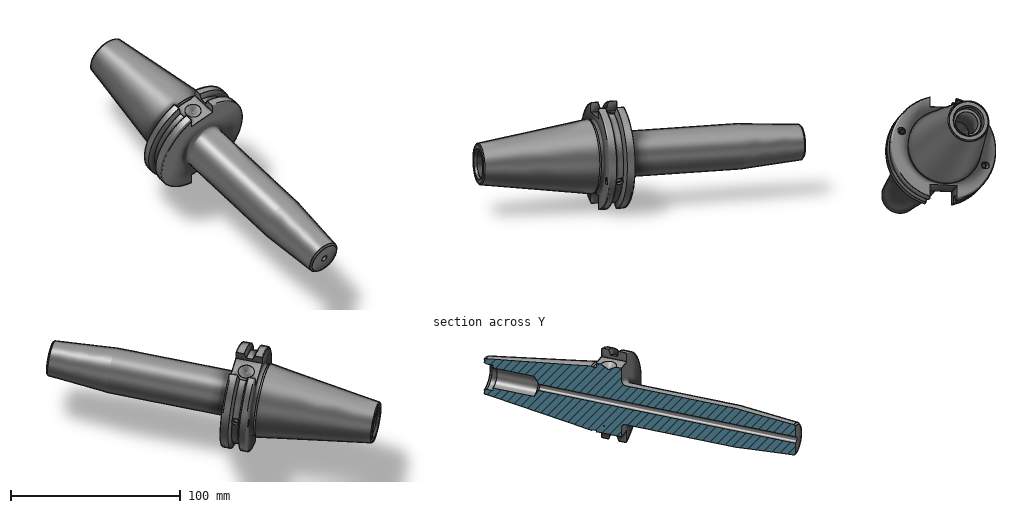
import cadquery as cq
import math

TOTAL_LENGTH = 198.2

TAPER_RATIO = 7 / 24
GAUGE_DIAMETER = 44.5
GAUGE_X = 68.2
TAPER_END_CHAMFER = 0.5
RELIEF_DIAMETER = 43.2
RELIEF_X = 69.4
RELIEF_FILLET = 0.5

FLANGE_DIAMETER = 63.5
FLANGE_START = 71.4
FLANGE_END = 87.5
FLANGE_FILLET = 1.0
GROOVE_X = 79.1
GROOVE_DIAMETER = 56.3
GROOVE_MOUTH_WIDTH = 6.5
GROOVE_FLOOR_WIDTH = 4.0

SLOT_WIDTH = 16.3
TOP_SLOT_HEIGHT = 24.8
BOTTOM_SLOT_HEIGHT = 22.5
DIMPLE_DIAMETER = 9.5
DIMPLE_ANGLE = 120.0

SHANK_DIAMETER = 27.0
SHANK_FILLET = 2.8
NOSE_START = 160.2
NOSE_ANGLE = 4.5
NOSE_CHAMFER = 1.0

BORE_MOUTH_DIAMETER = 18.6
MOUTH_CHAMFER_LENGTH = 1.5
COUNTERBORE_DIAMETER = 17.0
COUNTERBORE_DEPTH = 5.5
BORE_DIAMETER = 13.5
BORE_DEPTH = 31.7
DRILL_ANGLE = 118.0
THROUGH_DIAMETER = 4.0

COOLANT_ANGLES = (20.0, 200.0)
COOLANT_TILT = 30.0
COOLANT_ENTRY_RADIUS = 27.0
COOLANT_ENTRY_DIAMETER = 4.0
COOLANT_ENTRY_DEPTH = 2.0
COOLANT_DIAMETER = 3.2
OUTLET_DIAMETER = 4.4
OUTLET_DEPTH = 2.0


def cone_depth(diameter, angle):
    """Height of a cone with the given base diameter and included angle."""
    return diameter / 2 / math.tan(math.radians(angle / 2))


def make_body():
    """Revolve the outer profile about the X axis."""
    taper_radius = (GAUGE_DIAMETER - GAUGE_X * TAPER_RATIO) / 2
    relief_radius = RELIEF_DIAMETER / 2
    flange_radius = FLANGE_DIAMETER / 2
    groove_radius = GROOVE_DIAMETER / 2
    shank_radius = SHANK_DIAMETER / 2
    nose_slope = math.tan(math.radians(NOSE_ANGLE))
    nose_radius = shank_radius - (TOTAL_LENGTH - NOSE_START) * nose_slope
    half_mouth = GROOVE_MOUTH_WIDTH / 2
    half_floor = GROOVE_FLOOR_WIDTH / 2
    edge_radius = flange_radius - FLANGE_FILLET

    profile = (
        cq.Workplane("XY")
        .moveTo(0, 0)
        .lineTo(0, taper_radius - TAPER_END_CHAMFER)
        .lineTo(TAPER_END_CHAMFER, taper_radius + TAPER_END_CHAMFER * TAPER_RATIO / 2)
        .lineTo(GAUGE_X, GAUGE_DIAMETER / 2)
        .lineTo(RELIEF_X, relief_radius)
        .lineTo(FLANGE_START - RELIEF_FILLET, relief_radius)
        .radiusArc((FLANGE_START, relief_radius + RELIEF_FILLET), -RELIEF_FILLET)
        .lineTo(FLANGE_START, edge_radius)
        .radiusArc((FLANGE_START + FLANGE_FILLET, flange_radius), FLANGE_FILLET)
        .lineTo(GROOVE_X - half_mouth, flange_radius)
        .lineTo(GROOVE_X - half_floor, groove_radius)
        .lineTo(GROOVE_X + half_floor, groove_radius)
        .lineTo(GROOVE_X + half_mouth, flange_radius)
        .lineTo(FLANGE_END - FLANGE_FILLET, flange_radius)
        .radiusArc((FLANGE_END, edge_radius), FLANGE_FILLET)
        .lineTo(FLANGE_END, shank_radius + SHANK_FILLET)
        .radiusArc((FLANGE_END + SHANK_FILLET, shank_radius), -SHANK_FILLET)
        .lineTo(NOSE_START, shank_radius)
        .lineTo(TOTAL_LENGTH - NOSE_CHAMFER, nose_radius + NOSE_CHAMFER * nose_slope)
        .lineTo(TOTAL_LENGTH, nose_radius - NOSE_CHAMFER)
        .lineTo(TOTAL_LENGTH, 0)
        .close()
    )
    return profile.revolve(360, (0, 0, 0), (1, 0, 0))


def make_bore():
    """Chamfered counterbore, drilled bore with a conical end, and a through hole."""
    through_radius = THROUGH_DIAMETER / 2
    tip_depth = cone_depth(BORE_DIAMETER - THROUGH_DIAMETER, DRILL_ANGLE)
    profile = (
        cq.Workplane("XY")
        .moveTo(0, 0)
        .lineTo(0, BORE_MOUTH_DIAMETER / 2)
        .lineTo(MOUTH_CHAMFER_LENGTH, COUNTERBORE_DIAMETER / 2)
        .lineTo(COUNTERBORE_DEPTH, COUNTERBORE_DIAMETER / 2)
        .lineTo(COUNTERBORE_DEPTH, BORE_DIAMETER / 2)
        .lineTo(BORE_DEPTH, BORE_DIAMETER / 2)
        .lineTo(BORE_DEPTH + tip_depth, through_radius)
        .lineTo(TOTAL_LENGTH, through_radius)
        .lineTo(TOTAL_LENGTH, 0)
        .close()
    )
    return profile.revolve(360, (0, 0, 0), (1, 0, 0))


def make_slot(floor_height, direction):
    """Drive slot across the flange; direction is 1 for +Z and -1 for -Z."""
    depth = FLANGE_DIAMETER / 2 - floor_height
    width = FLANGE_END - FLANGE_START
    center = ((FLANGE_START + FLANGE_END) / 2, 0, direction * (floor_height + depth / 2))
    return cq.Workplane("XY").box(width, SLOT_WIDTH, depth).translate(center)


def make_dimple(floor_height, direction):
    """Conical dimple in the middle of a slot floor."""
    return cq.Workplane(
        cq.Solid.makeCone(
            DIMPLE_DIAMETER / 2,
            0,
            cone_depth(DIMPLE_DIAMETER, DIMPLE_ANGLE),
            cq.Vector(GROOVE_X, 0, direction * floor_height),
            cq.Vector(0, 0, -direction),
        )
    )


def make_stepped_hole(start, direction, mouth_diameter, mouth_depth, length):
    """Wide mouth that continues as a coolant hole up to the given length."""
    mouth = cq.Solid.makeCylinder(mouth_diameter / 2, mouth_depth, start, direction)
    hole = cq.Solid.makeCylinder(COOLANT_DIAMETER / 2, length, start, direction)
    opening = cq.Solid.makeCylinder(mouth_diameter / 2, mouth_diameter, start, direction * -1)
    return cq.Workplane(mouth).union(cq.Workplane(hole)).union(cq.Workplane(opening))


def make_coolant_passage(angle):
    """Slanted hole and radial outlet at an angle measured from +Y towards +Z."""
    outward = cq.Vector(0, math.cos(math.radians(angle)), math.sin(math.radians(angle)))
    tilt = math.radians(COOLANT_TILT)
    run = GROOVE_X - FLANGE_START
    meeting_radius = COOLANT_ENTRY_RADIUS - run * math.tan(tilt)
    groove_radius = GROOVE_DIAMETER / 2

    slanted = make_stepped_hole(
        cq.Vector(FLANGE_START, 0, 0) + outward * COOLANT_ENTRY_RADIUS,
        cq.Vector(math.cos(tilt), 0, 0) - outward * math.sin(tilt),
        COOLANT_ENTRY_DIAMETER,
        COOLANT_ENTRY_DEPTH,
        run / math.cos(tilt),
    )
    outlet = make_stepped_hole(
        cq.Vector(GROOVE_X, 0, 0) + outward * groove_radius,
        outward * -1,
        OUTLET_DIAMETER,
        OUTLET_DEPTH,
        groove_radius - meeting_radius,
    )
    return slanted.union(outlet)


result = make_body().cut(make_bore())
for slot_height, side in ((TOP_SLOT_HEIGHT, 1), (BOTTOM_SLOT_HEIGHT, -1)):
    result = result.cut(make_slot(slot_height, side))
result = result.cut(make_dimple(TOP_SLOT_HEIGHT, 1))
for coolant_angle in COOLANT_ANGLES:
    result = result.cut(make_coolant_passage(coolant_angle))